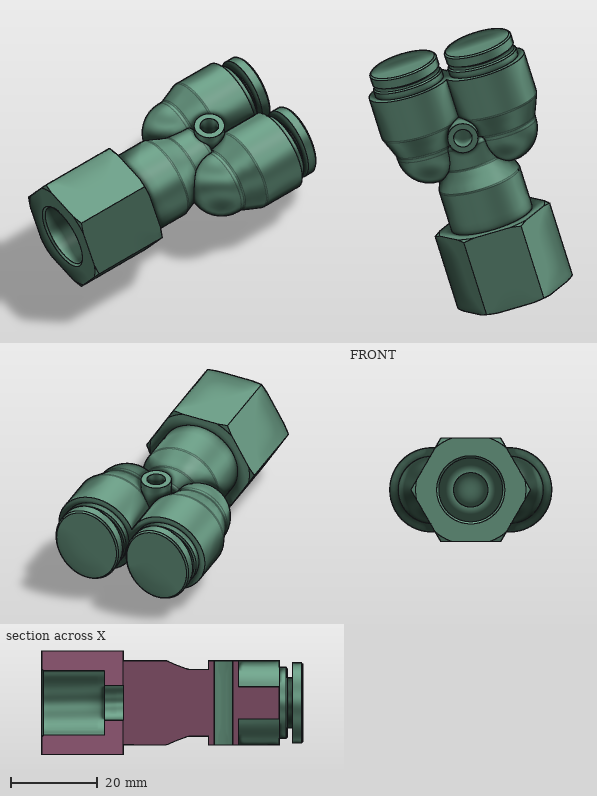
import cadquery as cq
import math


NUT_LENGTH = 18.9
NUT_ACROSS_FLATS = 24.0
NUT_CHAMFER_DIAMETER = 25.5
NUT_CHAMFER_ANGLE = 20.0
THREAD_DIAMETER = 14.8
THREAD_DEPTH = 14.5
THREAD_CHAMFER = 0.5
PASSAGE_DIAMETER = 8.0

BARREL_DIAMETER = 19.5
NECK_DIAMETER = 15.5
CONE_LENGTH = 5.0
CONE_BLEND_RADIUS = 1.0
NECK_END_Y = 38.95
STEM_RIM_RADIUS = 1.15
STEM_CONE_START_Y = 28.95
BRANCH_CONE_END_Y = 44.95
BRANCH_END_Y = 54.95
BRANCH_OFFSET = 9.0
BRANCH_CENTERS = (-BRANCH_OFFSET, BRANCH_OFFSET)

EYELET_Y = 42.05
EYELET_DIAMETER = 7.0
EYELET_HOLE_DIAMETER = 4.2

COLLAR_DIAMETER = 16.5
COLLAR_LENGTH = 1.9
COLLAR_CHAMFER = 0.35
BUTTON_NECK_DIAMETER = 11.7
BUTTON_HEAD_WIDTH = 16.05
BUTTON_HEAD_HEIGHT = 18.6
BUTTON_HEAD_LENGTH = 2.4
BUTTON_CHAMFER = 0.35
END_Y = 60.4


def section_at(y, x=0.0):
    """Workplane across the fitting at height y, with its normal along +Y."""
    return cq.Workplane(cq.Plane(origin=(x, y, 0), xDir=(1, 0, 0), normal=(0, 1, 0)))


def rod(diameter, start_y, end_y, x=0.0):
    return section_at(start_y, x).circle(diameter / 2).extrude(end_y - start_y)


def make_nut():
    nut = section_at(0).polygon(6, NUT_ACROSS_FLATS / math.cos(math.pi / 6)).extrude(NUT_LENGTH)

    rim = NUT_CHAMFER_DIAMETER / 2
    middle = NUT_LENGTH / 2
    bulge = rim + middle / math.tan(math.radians(NUT_CHAMFER_ANGLE))
    blank = (
        cq.Workplane("XY")
        .polyline([(0, 0), (rim, 0), (bulge, middle), (rim, NUT_LENGTH), (0, NUT_LENGTH)])
        .close()
        .revolve(360, (0, 0, 0), (0, 1, 0))
    )
    nut = nut.intersect(blank)

    nut = nut.cut(rod(THREAD_DIAMETER, 0, THREAD_DEPTH))
    nut = nut.cut(rod(PASSAGE_DIAMETER, THREAD_DEPTH, NUT_LENGTH))
    mouth = section_at(0).circle(THREAD_DIAMETER / 2 + THREAD_CHAMFER)
    mouth = mouth.workplane(offset=THREAD_CHAMFER).circle(THREAD_DIAMETER / 2).loft()
    return nut.cut(mouth)


def branch_dome(wire):
    """Close a branch outline with a half sphere that continues its neck."""
    radius = NECK_DIAMETER / 2
    offset = radius * math.sin(math.pi / 4)
    return wire.threePointArc((offset, NECK_END_Y - offset), (0, NECK_END_Y - radius))


def stem_cap(wire):
    """Close the stem outline with a flat end that has a rounded rim."""
    flat_radius = NECK_DIAMETER / 2 - STEM_RIM_RADIUS
    end_y = NECK_END_Y + STEM_RIM_RADIUS
    rim_offset = STEM_RIM_RADIUS * math.sin(math.pi / 4)
    return wire.threePointArc(
        (flat_radius + rim_offset, NECK_END_Y + rim_offset), (flat_radius, end_y)
    ).lineTo(0, end_y)


def arm(x, barrel_end_y, cone_barrel_y, cone_neck_y, close_neck):
    """Barrel that narrows through a blended cone to a neck, closed by close_neck."""
    barrel_radius = BARREL_DIAMETER / 2
    wire = (
        cq.Workplane("XY", origin=(x, 0, 0))
        .moveTo(0, barrel_end_y)
        .lineTo(barrel_radius, barrel_end_y)
        .lineTo(barrel_radius, cone_barrel_y)
        .lineTo(NECK_DIAMETER / 2, cone_neck_y)
        .lineTo(NECK_DIAMETER / 2, NECK_END_Y)
    )
    solid = close_neck(wire).close().revolve(360, (0, 0, 0), (0, 1, 0))
    cone_ends = [
        edge for edge in solid.edges("%CIRCLE").vals()
        if min(abs(edge.Center().y - y) for y in (cone_barrel_y, cone_neck_y)) < CONE_BLEND_RADIUS / 2
    ]
    return solid.newObject(cone_ends).fillet(CONE_BLEND_RADIUS)


def make_housing():
    stem_cone_end_y = STEM_CONE_START_Y + CONE_LENGTH
    branch_cone_start_y = BRANCH_CONE_END_Y - CONE_LENGTH
    housing = arm(0, NUT_LENGTH, STEM_CONE_START_Y, stem_cone_end_y, stem_cap)
    for x in BRANCH_CENTERS:
        housing = housing.union(arm(x, BRANCH_END_Y, BRANCH_CONE_END_Y, branch_cone_start_y, branch_dome))

    eyelet = cq.Workplane("XY").center(0, EYELET_Y)
    housing = housing.union(eyelet.circle(EYELET_DIAMETER / 2).extrude(BARREL_DIAMETER / 2, both=True))
    return housing.cut(eyelet.circle(EYELET_HOLE_DIAMETER / 2).extrude(BARREL_DIAMETER / 2, both=True))


def make_collar(x):
    collar_end_y = BRANCH_END_Y + COLLAR_LENGTH
    collar = rod(COLLAR_DIAMETER, BRANCH_END_Y, collar_end_y, x).faces(">Y").chamfer(COLLAR_CHAMFER)
    return collar.cut(rod(BUTTON_NECK_DIAMETER, BRANCH_END_Y, collar_end_y, x))


def make_button(x):
    """Oval release button whose round neck fills the collar."""
    head_start_y = END_Y - BUTTON_HEAD_LENGTH
    head = (
        section_at(head_start_y, x)
        .ellipse(BUTTON_HEAD_WIDTH / 2, BUTTON_HEAD_HEIGHT / 2)
        .extrude(BUTTON_HEAD_LENGTH)
        .faces(">Y")
        .chamfer(BUTTON_CHAMFER)
    )
    return head.union(rod(BUTTON_NECK_DIAMETER, BRANCH_END_Y, head_start_y, x))


nut = make_nut()
housing = make_housing()
collars = [make_collar(x) for x in BRANCH_CENTERS]
buttons = [make_button(x) for x in BRANCH_CENTERS]

result = cq.Compound.makeCompound(
    [nut.val(), housing.val(), *[collar.val() for collar in collars], *[button.val() for button in buttons]]
)